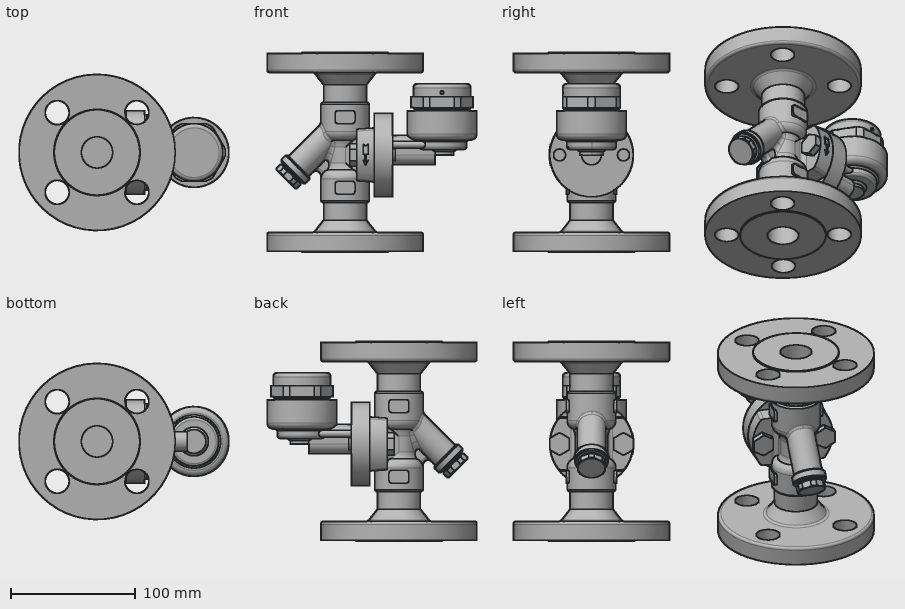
import cadquery as cq
import math

END_Z = 80.0

FLANGE_D = 125.0
FLANGE_BACK_Z = 63.9
RAISED_FACE_D = 69.1
RAISED_FACE_H = 0.8
FLANGE_EDGE = 2.2
BOLT_HOLE_D = 19.0
BOLT_CIRCLE_D = 90.1
BORE_D = 25.0
BORE_DEPTH = 63.9

PIPE_D = 34.5
NECK_BASE_D = 49.8
NECK_END_Z = 54.1
NECK_FILLET = 3.0

BODY_D = 39.0
BODY_END_Z = 40.2
BODY_CHAMFER = 1.5
SIDE_Z = -2.0
SHOULDER_H = 18.8
SHOULDER_R = 7.4
WAIST_D = 26.2
WAIST_H = 6.4
RING_D = 29.5
BLEND_BOW = 0.3

PAD_W = 16.0
PAD_H = 10.3
PAD_Z = 28.2
PAD_CORNER = 2.2
PAD_FACE_Y = 20.0

BRANCH_Z = 26.0
BRANCH_ANGLE = 45.0
BRANCH_D = 23.0
COLLAR_D = 27.0
COLLAR_START = 52.6
COLLAR_END = 59.7
COLLAR_BEVEL = 1.0
PLUG_GROOVE_D = 20.2
PLUG_START = 61.0
PLUG_END = 67.0
PLUG_FLATS = 21.9
PLUG_D = 23.0
PLUG_BEVEL = 0.7
BRANCH_FILLET = 3.7
WEB_W = 8.4
WEB_EDGE = 2.5
WEB_R = 3.7

SIDE_FLANGE_D = 67.0
BODY_FLANGE_X = 9.4
BODY_FLANGE_D = 66.4
COVER_X = 23.4
COVER_END_X = 38.2
FLAT_FRONT = 20.7
FLAT_BACK = 21.7
FLAT_CORNER = 3.4
SIDE_NECK_FILLET = 3.5

SIDE_BOLT_Y = 25.5
HEAD_FLATS = 15.8
HEAD_H = 5.7
BOLT_D = 9.5
BOLT_TIP = 1.8

ARROW_X = 16.5
ARROW_TOP_Z = 6.5
ARROW_NOTCH = 1.3
ARROW_TAIL_Z = -1.3
ARROW_HEAD_Z = -6.4
ARROW_BARB_Z = -7.4
ARROW_TIP_Z = -10.1
ARROW_HALF_W = 2.0
ARROW_SHAFT_HALF_W = 0.7
ARROW_RELIEF = 0.7

ARM_HALF_W = 14.5
ARM_TOP_Z = 13.8
ARM_EDGE_TOP_Z = 8.9
ARM_BOTTOM_Z = 3.5
RIB_W = 15.8
RIB_END_X = 72.1

CUP_D = 56.0
ACTUATOR_X = 168.1 - FLANGE_D / 2 - CUP_D / 2
TIP_Z = -2.2
TIP_D = 19.0
TIP_ROOT_D = 23.0
TIP_ROOT_H = 1.8
BOSS_BOTTOM_Z = 2.4
BOSS_D = 39.3
BOSS_FILLET = 2.2
BOSS_ROOT_D = 42.7
BOSS_ROOT_H = 1.5
CUP_BOTTOM_Z = 10.0
CUP_TOP_Z = 33.3
CUP_FILLET = 5.0
GROOVE_D = 44.2
GROOVE_ROOT_D = 45.7
GROOVE_ROOT_H = 1.3
NUT_Z = 35.8
CAP_Z = 44.7
CAP_TOP_Z = 55.0
CAP_D = 46.0
CAP_FILLET = 3.2
NUT_FLATS = 46.0
NUT_D = 50.0
VENT_D = 2.7
VENT_DEPTH = 2.5
VENT_Z = 47.9


def disc(diameter, z_from, z_to):
    """Cylinder about the Z axis between two heights."""
    return cq.Workplane("XY").workplane(offset=z_from).circle(diameter / 2).extrude(z_to - z_from)


def x_disc(diameter, x_from, x_to, y=0.0):
    """Cylinder about an axis parallel to X, at the height of the side outlet."""
    plane = cq.Workplane("YZ", origin=(x_from, y, SIDE_Z))
    return plane.circle(diameter / 2).extrude(x_to - x_from)


def rounded_hex(flats, diameter, z_from, z_to):
    """Hexagon with its corners turned down to a diameter; two flats face +Y and -Y."""
    corners = flats / math.cos(math.radians(30))
    hexagon = cq.Workplane("XY").workplane(offset=z_from).polygon(6, corners).extrude(z_to - z_from)
    return hexagon.intersect(disc(diameter, z_from, z_to))


def pipe_flange():
    """Upper flange with raised face, bolt holes, welding neck and pipe stub."""
    face_z = END_Z - RAISED_FACE_H
    plate = disc(FLANGE_D, FLANGE_BACK_Z, face_z).faces("<Z").edges().fillet(FLANGE_EDGE)
    neck = (
        cq.Workplane("XZ")
        .moveTo(0, NECK_END_Z)
        .lineTo(PIPE_D / 2, NECK_END_Z)
        .lineTo(NECK_BASE_D / 2, FLANGE_BACK_Z)
        .lineTo(0, FLANGE_BACK_Z)
        .close()
        .revolve(360, (0, 0, 0), (0, 1, 0))
    )
    flange = plate.union(neck).union(disc(PIPE_D, BODY_END_Z, NECK_END_Z))
    root_r = NECK_BASE_D / 2 + 0.2
    root = cq.selectors.BoxSelector(
        (-root_r, -root_r, FLANGE_BACK_Z - 0.2), (root_r, root_r, FLANGE_BACK_Z + 0.2), boundingbox=True
    )
    flange = flange.edges(root).fillet(NECK_FILLET)
    raised_face = disc(RAISED_FACE_D, face_z, END_Z).faces(">Z").edges().chamfer(RAISED_FACE_H / 2)
    holes = (
        cq.Workplane("XY")
        .workplane(offset=FLANGE_BACK_Z)
        .polarArray(BOLT_CIRCLE_D / 2, 45, 360, 4)
        .circle(BOLT_HOLE_D / 2)
        .extrude(END_Z - FLANGE_BACK_Z)
    )
    return flange.union(raised_face).cut(holes)


def valve_body():
    """Turned body: two barrels joined by a waist at the side outlet."""
    body_r = BODY_D / 2
    waist_r = WAIST_D / 2
    ring_r = RING_D / 2
    center_r = body_r - SHOULDER_R
    ring_angle = math.acos((ring_r - center_r) / SHOULDER_R)
    mid_angle = ring_angle / 2
    ring_h = SHOULDER_H - SHOULDER_R * math.sin(ring_angle)
    mid = (center_r + SHOULDER_R * math.cos(mid_angle), SHOULDER_H - SHOULDER_R * math.sin(mid_angle))

    def half(side):
        end_h = BODY_END_Z - side * SIDE_Z
        blend_h = (ring_h + WAIST_H) / 2
        blend_mid = (waist_r + BLEND_BOW * (ring_r - waist_r), blend_h)
        points = [(waist_r, WAIST_H), blend_mid, (ring_r, ring_h), mid, (body_r, SHOULDER_H)]
        points += [(body_r, end_h - BODY_CHAMFER), (body_r - BODY_CHAMFER, end_h), (0, end_h)]
        waist, blend, ring, shoulder, barrel, rim, end, axis_end = [
            (r, SIDE_Z + side * h) for r, h in points
        ]
        return (
            cq.Workplane("XZ")
            .moveTo(0, SIDE_Z)
            .lineTo(waist_r, SIDE_Z)
            .lineTo(*waist)
            .threePointArc(blend, ring)
            .threePointArc(shoulder, barrel)
            .lineTo(*rim)
            .lineTo(*end)
            .lineTo(*axis_end)
            .close()
            .revolve(360, (0, 0, 0), (0, 1, 0))
        )

    return half(1).union(half(-1))


def name_pads():
    """Raised rounded rectangles on both sides of both barrels."""
    block = cq.Workplane("XY").box(PAD_W, 2 * PAD_FACE_Y, PAD_H).edges("|Y").fillet(PAD_CORNER)
    return block.translate((0, 0, PAD_Z)).union(block.translate((0, 0, -PAD_Z)))


def on_branch_axis(shape):
    """Move a shape built along +Z onto the downward sloping branch axis."""
    return shape.rotate((0, 0, 0), (0, 1, 0), BRANCH_ANGLE - 180).translate((0, 0, BRANCH_Z))


def body_with_branch():
    """Valve body with the branch tube and a blend along their whole joint."""
    branch = on_branch_axis(disc(BRANCH_D, 0, COLLAR_START))
    joined = valve_body().union(branch)
    return joined.edges("%BSPLINE").fillet(BRANCH_FILLET)


def branch_web():
    """Hollow-edged web between the underside of the branch and the lower barrel."""
    underside = BRANCH_Z - BRANCH_D / 2 / math.cos(math.radians(BRANCH_ANGLE))
    barrel_x = -BODY_D / 2
    web_root_x = -WAIST_D / 4
    center_x = barrel_x - WEB_R
    center_z = underside + center_x - WEB_R / math.cos(math.radians(BRANCH_ANGLE))
    tangent = WEB_R * math.sin(math.radians(BRANCH_ANGLE))
    block = (
        cq.Workplane("XZ")
        .polyline([
            (center_x - tangent, center_z + tangent),
            (center_x, center_z),
            (web_root_x, center_z),
            (web_root_x, underside + web_root_x),
        ])
        .close()
        .extrude(WEB_W / 2, both=True)
    )
    hollow = cq.Workplane("XZ", origin=(center_x, 0, center_z)).circle(WEB_R).extrude(WEB_W, both=True)
    web = block.cut(hollow)
    return web.faces("%CYLINDER").edges("%CIRCLE").fillet(WEB_EDGE)


def branch_collar_and_plug():
    """Collar at the end of the branch and the hexagon plug screwed into it."""
    collar = disc(COLLAR_D, COLLAR_START, COLLAR_END).edges().chamfer(COLLAR_BEVEL)
    groove = disc(PLUG_GROOVE_D, COLLAR_END, PLUG_START)
    plug = rounded_hex(PLUG_FLATS, PLUG_D, PLUG_START, PLUG_END)
    bevel = disc(PLUG_D, PLUG_START, PLUG_END).edges().chamfer(PLUG_BEVEL)
    return on_branch_axis(collar.union(groove).union(plug.intersect(bevel)))


def side_flanges():
    """Body flange with tapered flats, and the full round cover behind it."""
    taper = (
        cq.Workplane("XZ", origin=(0, 0, SIDE_Z))
        .polyline([
            (BODY_FLANGE_X, -FLAT_FRONT),
            (COVER_X, -FLAT_BACK),
            (COVER_X, FLAT_BACK),
            (BODY_FLANGE_X, FLAT_FRONT),
        ])
        .close()
        .extrude(SIDE_FLANGE_D, both=True)
    )
    body_flange = x_disc(BODY_FLANGE_D, BODY_FLANGE_X, COVER_X).intersect(taper)
    body_flange = body_flange.edges("not(#X or %CIRCLE)").fillet(FLAT_CORNER)
    neck = cq.Workplane("XY").box(BODY_FLANGE_X, WAIST_D, 2 * SHOULDER_H, centered=(False, True, True))
    outlet = body_flange.union(neck.translate((0, 0, SIDE_Z)))
    root = cq.selectors.BoxSelector(
        (BODY_FLANGE_X - 0.2, -WAIST_D, SIDE_Z - 1.7), (BODY_FLANGE_X + 0.2, WAIST_D, SIDE_Z + 1.7)
    )
    outlet = outlet.edges("|Z").edges(root).fillet(SIDE_NECK_FILLET)
    return outlet.union(x_disc(SIDE_FLANGE_D, COVER_X, COVER_END_X))


def side_bolt(y):
    """Hexagon head in front of the body flange and thread end behind the cover."""
    head = (
        cq.Workplane("YZ", origin=(BODY_FLANGE_X - HEAD_H, y, SIDE_Z))
        .transformed(rotate=(0, 0, 90))
        .polygon(6, HEAD_FLATS / math.cos(math.radians(30)))
        .extrude(HEAD_H)
    )
    return head.union(x_disc(BOLT_D, BODY_FLANGE_X, COVER_END_X + BOLT_TIP, y))


def flow_arrow():
    """Raised downward arrow on the rim of the body flange."""
    right_side = [
        (ARROW_HALF_W, ARROW_TOP_Z),
        (ARROW_HALF_W, ARROW_TAIL_Z),
        (ARROW_SHAFT_HALF_W, ARROW_TAIL_Z),
        (ARROW_SHAFT_HALF_W, ARROW_BARB_Z),
        (ARROW_HALF_W, ARROW_HEAD_Z),
    ]
    left_side = [(-x, z) for x, z in reversed(right_side)]
    outline = [(0, ARROW_TOP_Z - ARROW_NOTCH)] + right_side + [(0, ARROW_TIP_Z)] + left_side
    arrow = cq.Workplane("XZ", origin=(ARROW_X, 0, 0)).polyline(outline).close().extrude(SIDE_FLANGE_D)
    return arrow.intersect(x_disc(BODY_FLANGE_D + 2 * ARROW_RELIEF, BODY_FLANGE_X, COVER_X))


def actuator_arm():
    """Arched arm with rounded edges, and the round-bottomed rib below it."""
    edge_r = (ARM_EDGE_TOP_Z - ARM_BOTTOM_Z) / 2
    edge_y = ARM_HALF_W - edge_r
    edge_z = ARM_BOTTOM_Z + edge_r
    arm = (
        cq.Workplane("YZ", origin=(COVER_END_X, 0, 0))
        .moveTo(-edge_y, ARM_BOTTOM_Z)
        .threePointArc((-ARM_HALF_W, edge_z), (-edge_y, ARM_EDGE_TOP_Z))
        .threePointArc((0, ARM_TOP_Z), (edge_y, ARM_EDGE_TOP_Z))
        .threePointArc((ARM_HALF_W, edge_z), (edge_y, ARM_BOTTOM_Z))
        .close()
        .extrude(ACTUATOR_X - COVER_END_X)
    )
    half_w = RIB_W / 2
    rib = (
        cq.Workplane("YZ", origin=(COVER_END_X, 0, 0))
        .moveTo(-half_w, ARM_BOTTOM_Z)
        .lineTo(-half_w, SIDE_Z)
        .threePointArc((0, SIDE_Z - half_w), (half_w, SIDE_Z))
        .lineTo(half_w, ARM_BOTTOM_Z)
        .close()
        .extrude(RIB_END_X - COVER_END_X)
    )
    return arm.union(rib)


def root_cone(diameter, root_diameter, height, root_z):
    """Short cone that widens a stepped cylinder upwards to the step at root_z."""
    small = cq.Workplane("XY").workplane(offset=root_z - height).circle(diameter / 2)
    return small.workplane(offset=height).circle(root_diameter / 2).loft()


def actuator():
    """Stepped cup, hexagon nut and cap, all about one vertical axis."""
    unit = disc(TIP_D, TIP_Z, BOSS_BOTTOM_Z)
    unit = unit.union(disc(BOSS_D, BOSS_BOTTOM_Z, CUP_BOTTOM_Z).faces("<Z").edges().fillet(BOSS_FILLET))
    unit = unit.union(disc(CUP_D, CUP_BOTTOM_Z, CUP_TOP_Z).faces("<Z").edges().fillet(CUP_FILLET))
    unit = unit.union(root_cone(TIP_D, TIP_ROOT_D, TIP_ROOT_H, BOSS_BOTTOM_Z))
    unit = unit.union(root_cone(BOSS_D, BOSS_ROOT_D, BOSS_ROOT_H, CUP_BOTTOM_Z))
    unit = unit.union(root_cone(GROOVE_D, GROOVE_ROOT_D, GROOVE_ROOT_H, NUT_Z))
    unit = unit.union(disc(GROOVE_D, CUP_TOP_Z, NUT_Z))
    unit = unit.union(rounded_hex(NUT_FLATS, NUT_D, NUT_Z, CAP_Z))
    unit = unit.union(disc(CAP_D, CAP_Z, CAP_TOP_Z).faces(">Z").edges().fillet(CAP_FILLET))
    vent = (
        cq.Workplane("XZ", origin=(0, -CAP_D / 2, VENT_Z))
        .circle(VENT_D / 2)
        .extrude(VENT_DEPTH, both=True)
    )
    return unit.cut(vent).translate((ACTUATOR_X, 0, 0))


result = body_with_branch().union(branch_web())
upper_flange = pipe_flange()
result = result.union(upper_flange).union(upper_flange.mirror("XY"))
result = result.union(name_pads()).union(branch_collar_and_plug()).union(side_flanges())
for bolt_y in (-SIDE_BOLT_Y, SIDE_BOLT_Y):
    result = result.union(side_bolt(bolt_y))
result = result.union(flow_arrow()).union(actuator_arm()).union(actuator())
bore = disc(BORE_D, END_Z - BORE_DEPTH, END_Z)
result = result.cut(bore).cut(bore.mirror("XY"))